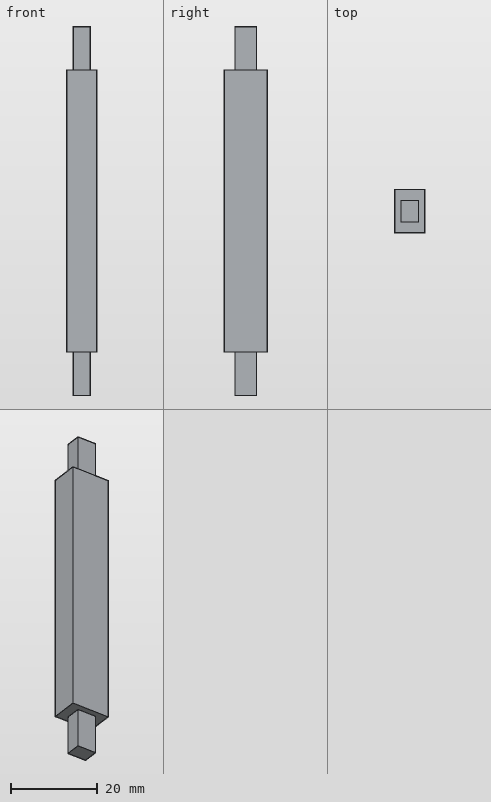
import cadquery as cq

BODY_WIDTH = 7.0
BODY_DEPTH = 10.0
TENON_WIDTH = 4.0
TENON_DEPTH = 5.0
TENON_LENGTH = 10.0
OVERALL_LENGTH = 85.0
BODY_LENGTH = OVERALL_LENGTH - 2 * TENON_LENGTH


def make_body():
    return cq.Workplane("XY").box(BODY_WIDTH, BODY_DEPTH, BODY_LENGTH)


def add_tenon(bar, end_face):
    """Extrude a tenon outward from the centre of the selected end face."""
    return bar.faces(end_face).workplane().rect(TENON_WIDTH, TENON_DEPTH).extrude(TENON_LENGTH)


result = make_body()
for end_face in (">Z", "<Z"):
    result = add_tenon(result, end_face)